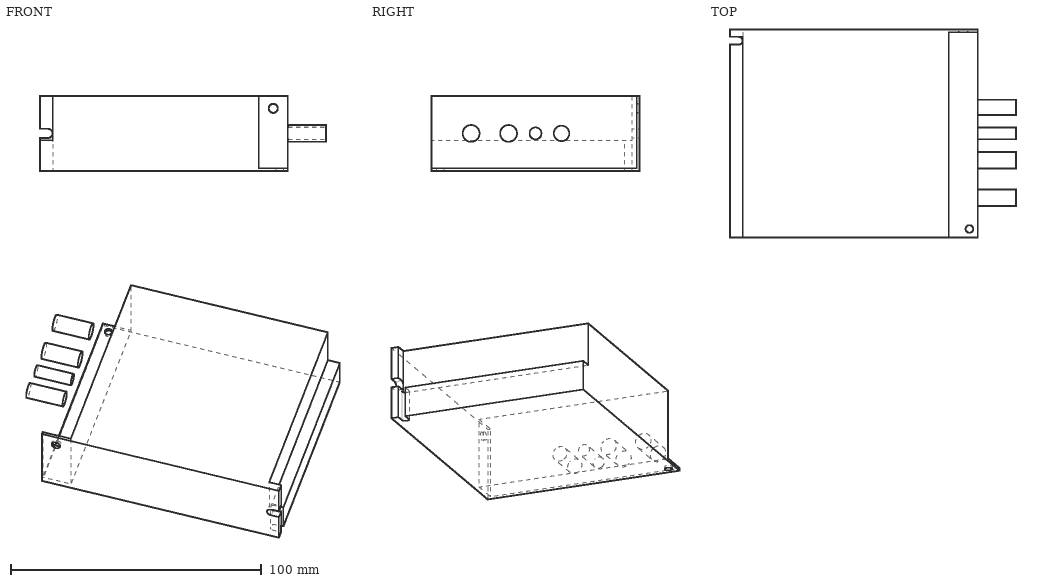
import cadquery as cq

TOTAL_LENGTH = 114.0
WIDTH = 83.0
HEIGHT = 30.0

HOUSING_LENGTH = 98.8
FLANGE_LENGTH = 11.7
FLANGE_THICKNESS = 1.1
BLOCK_END = HOUSING_LENGTH - FLANGE_LENGTH

STEP_DEPTH = 5.0
LEDGE_HEIGHT = 12.2
TAB_THICKNESS = 3.1

TAB_SLOT_WIDTH = 3.5
LEDGE_SLOT_WIDTH = 3.0
LEDGE_SLOT_Y = WIDTH - TAB_THICKNESS - LEDGE_SLOT_WIDTH / 2

SIDE_HOLE_DIAMETER = 3.5
SIDE_HOLE_X = HOUSING_LENGTH - FLANGE_LENGTH / 2
SIDE_HOLE_Z = 25.0
FLOOR_HOLE_DIAMETER = 3.0
FLOOR_HOLE_INSET = 3.4

CABLE_Z = HEIGHT / 2
CABLES = [(15.8, 6.7), (30.8, 6.7), (41.5, 4.8), (51.9, 6.2)]


def box(length, width, height, corner):
    """Box that grows in +X, +Y and +Z from the given corner."""
    return cq.Workplane("XY").box(length, width, height, centered=False).translate(corner)


def slot_profile(plane, center, width):
    """Slot outline open at x = 0, with a round end touching x = STEP_DEPTH."""
    radius = width / 2
    straight = STEP_DEPTH - radius
    return (
        cq.Workplane(plane)
        .moveTo(0, center - radius)
        .lineTo(straight, center - radius)
        .threePointArc((STEP_DEPTH, center), (straight, center + radius))
        .lineTo(0, center + radius)
        .close()
    )


def make_housing():
    body = box(HOUSING_LENGTH, WIDTH, HEIGHT, (0, 0, 0))

    flange_space = box(
        FLANGE_LENGTH, WIDTH - FLANGE_THICKNESS, HEIGHT - FLANGE_THICKNESS, (BLOCK_END, 0, FLANGE_THICKNESS)
    )
    step = box(STEP_DEPTH, WIDTH - TAB_THICKNESS, HEIGHT - LEDGE_HEIGHT, (0, 0, LEDGE_HEIGHT))
    body = body.cut(flange_space).cut(step)

    tab_slot = (
        slot_profile("XZ", HEIGHT / 2, TAB_SLOT_WIDTH)
        .extrude(-TAB_THICKNESS)
        .translate((0, WIDTH - TAB_THICKNESS, 0))
    )
    ledge_slot = slot_profile("XY", LEDGE_SLOT_Y, LEDGE_SLOT_WIDTH).extrude(LEDGE_HEIGHT)
    body = body.cut(tab_slot).cut(ledge_slot)

    side_hole = (
        cq.Workplane("XZ")
        .center(SIDE_HOLE_X, SIDE_HOLE_Z)
        .circle(SIDE_HOLE_DIAMETER / 2)
        .extrude(-WIDTH)
    )
    floor_hole = (
        cq.Workplane("XY")
        .center(HOUSING_LENGTH - FLOOR_HOLE_INSET, FLOOR_HOLE_INSET)
        .circle(FLOOR_HOLE_DIAMETER / 2)
        .extrude(FLANGE_THICKNESS)
    )
    return body.cut(side_hole).cut(floor_hole)


def make_cable(y, diameter):
    """Cable stub from the flange edge outward, clear of the housing block."""
    return (
        cq.Workplane("YZ", origin=(HOUSING_LENGTH, y, CABLE_Z))
        .circle(diameter / 2)
        .extrude(TOTAL_LENGTH - HOUSING_LENGTH)
    )


housing = make_housing()
cables = [make_cable(y, diameter) for y, diameter in CABLES]

result = cq.Compound.makeCompound([housing.val(), *[cable.val() for cable in cables]])